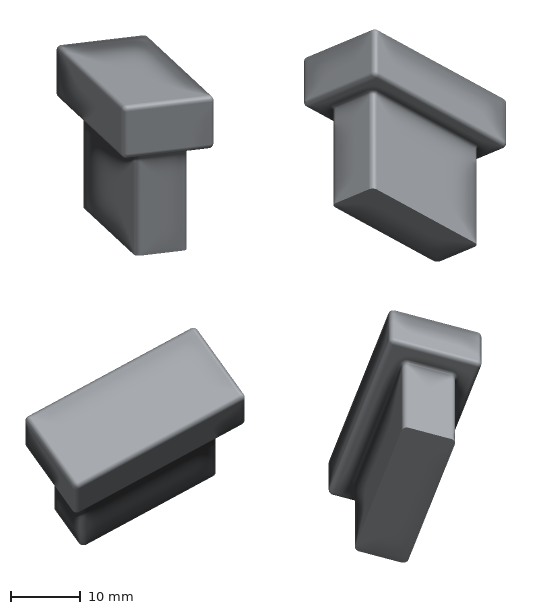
import cadquery as cq

head_length = 29.0
head_width = 14.0
head_height = 8.0
total_height = 24.0
overhang = 3.0
edge_radius = 0.75
corner_radius = 0.8
neck_radius = 0.5

stem_length = head_length - 2 * overhang
stem_width = head_width - 2 * overhang
stem_height = total_height - head_height


def make_head():
    """Block rounded on all edges, with its underside at the stem top."""
    block = cq.Workplane("XY").workplane(offset=stem_height).rect(head_length, head_width)
    return block.extrude(head_height).edges().fillet(edge_radius)


def make_stem():
    """Upright post with rounded corners and a flat, sharp-edged foot."""
    post = cq.Workplane("XY").rect(stem_length, stem_width).extrude(stem_height)
    return post.edges("|Z").fillet(corner_radius)


def blend_neck(body):
    """Fillet the concave loop between the stem and the head underside."""
    half_length = stem_length / 2 + neck_radius
    half_width = stem_width / 2 + neck_radius
    neck_zone = cq.selectors.BoxSelector(
        (-half_length, -half_width, stem_height - neck_radius),
        (half_length, half_width, stem_height + neck_radius),
    )
    return body.edges(neck_zone).fillet(neck_radius)


result = blend_neck(make_head().union(make_stem()))